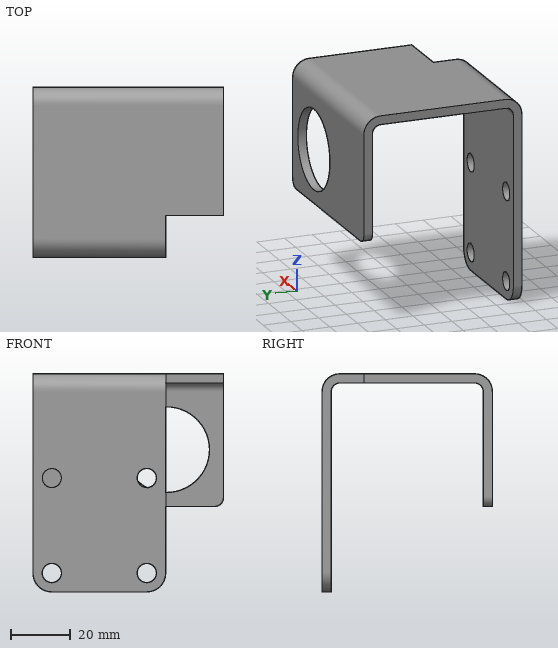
import cadquery as cq

length = 63.8
depth = 57.0
height = 73.0
thickness = 3.15
outer_bend_radius = 6.0
inner_bend_radius = outer_bend_radius - thickness

front_width = 44.5
front_corner_radius = 6.35
back_height = 44.5
back_corner_radius = 3.15
notch_depth = 14.0

mount_diameter = 6.35
mount_edge_distance = 6.35
mount_spacing = 31.8

bore_diameter = 28.55
bore_x = 44.8
bore_drop = 25.4

back_bottom = height - back_height


def box(x_size, y_size, z_size, corner):
    return cq.Workplane("XY").box(x_size, y_size, z_size, centered=False).translate(corner)


def cylinder_along_y(diameter, x, z, y_start):
    """Cutter for a hole through one flange, starting at its front face."""
    circle = cq.Workplane("XZ", origin=(x, y_start, z)).circle(diameter / 2)
    return circle.extrude(-thickness)


def bent_sheet():
    """Folded channel: a top plate with two flanges of unequal height."""
    outside = box(length, depth, height, (0, 0, 0))
    outside = outside.edges("|X and >Z").fillet(outer_bend_radius)
    inside = box(length, depth - 2 * thickness, height - thickness, (0, thickness, 0))
    inside = inside.edges("|X and >Z").fillet(inner_bend_radius)
    below_back = box(length, thickness, back_bottom, (0, depth - thickness, 0))
    return outside.cut(inside).cut(below_back)


def round_bottom_corners(body, y_start, bottom, radius):
    """Round the two lower corners of the flange whose front face is at y_start."""
    margin = thickness / 4
    bottom_edge = cq.selectors.BoxSelector(
        (-margin, y_start - margin, bottom - margin),
        (length + margin, y_start + thickness + margin, bottom + margin),
    )
    return body.edges(bottom_edge).edges("|Y").fillet(radius)


bracket = bent_sheet()
bracket = bracket.cut(box(length - front_width, notch_depth, height, (front_width, 0, 0)))

bracket = round_bottom_corners(bracket, 0, 0, front_corner_radius)
bracket = round_bottom_corners(bracket, depth - thickness, back_bottom, back_corner_radius)

for column in range(2):
    for row in range(2):
        hole_x = mount_edge_distance + column * mount_spacing
        hole_z = mount_edge_distance + row * mount_spacing
        bracket = bracket.cut(cylinder_along_y(mount_diameter, hole_x, hole_z, 0))

bore = cylinder_along_y(bore_diameter, bore_x, height - bore_drop, depth - thickness)
result = bracket.cut(bore)